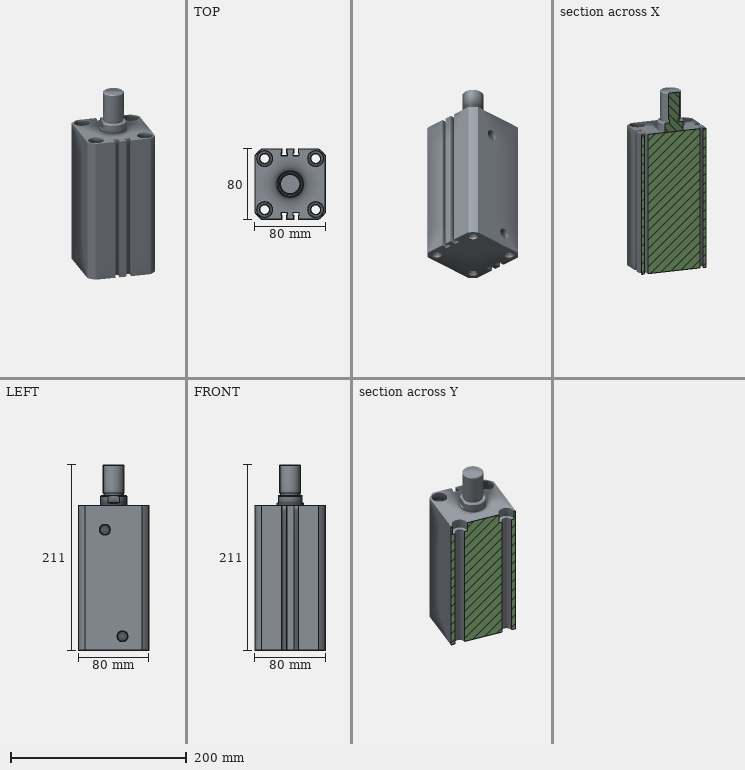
import cadquery as cq
import math

housing_width = 80.0
housing_height = 165.0
corner_radius = 51.5
half_width = housing_width / 2

mount_pitch = 58.0
mount_diameter = 11.0
counterbore_diameter = 18.0
counterbore_depth = 11.0

slot_offset = 6.7
slot_mouth_width = 5.2
slot_mouth_depth = 4.5
slot_inner_width = 6.6
slot_depth = 7.6

port_mouth_diameter = 12.3
port_floor_diameter = 11.2
port_depth = 12.0
port_offset = 10.0
lower_port_height = 16.0
upper_port_height = housing_height - 27.8

rod_length = 46.0
collar_diameter = 30.0
collar_height = 11.0
collar_chamfer = 1.0
flats_width = 27.0
flats_foot_height = 2.0
flats_foot_angle = 30.0
thread_diameter = 24.0
thread_length = 32.0
thread_chamfer = 1.0
neck_diameter = 22.4


def housing_blank():
    """Square block whose four corners are arcs about the cylinder axis."""
    block = cq.Workplane("XY").rect(housing_width, housing_width).extrude(housing_height)
    corner_cylinder = cq.Workplane("XY").circle(corner_radius).extrude(housing_height)
    return block.intersect(corner_cylinder)


def drill_mounting_holes(body):
    """Counterbored through holes at the four corners, entered from the top."""
    return (
        body.faces(">Z")
        .workplane(origin=(0, 0, housing_height))
        .rect(mount_pitch, mount_pitch, forConstruction=True)
        .vertices()
        .cboreHole(mount_diameter, counterbore_diameter, counterbore_depth)
    )


def sensor_slot(x, side):
    """Full-height T-slot centred at x, open on the +Y (side=1) or -Y (side=-1) face."""
    inner_depth = slot_depth - slot_mouth_depth
    face_y = side * half_width
    mouth = (
        cq.Workplane("XY")
        .center(x, face_y - side * slot_depth / 2)
        .rect(slot_mouth_width, slot_depth)
        .extrude(housing_height)
    )
    undercut = (
        cq.Workplane("XY")
        .center(x, face_y - side * (slot_depth - inner_depth / 2))
        .rect(slot_inner_width, inner_depth)
        .extrude(housing_height)
    )
    return mouth.union(undercut)


def port(y, z):
    """Blind port entering from the -X face, tapering to a smaller flat floor."""
    floor_x = -half_width + port_depth
    return (
        cq.Workplane("XY")
        .polyline(
            [
                (-half_width, 0),
                (-half_width, port_mouth_diameter / 2),
                (floor_x, port_floor_diameter / 2),
                (floor_x, 0),
            ]
        )
        .close()
        .revolve(360, (0, 0, 0), (1, 0, 0))
        .translate((0, y, z))
    )


def make_housing():
    body = drill_mounting_holes(housing_blank())
    for side in (-1, 1):
        for x in (-slot_offset, slot_offset):
            body = body.cut(sensor_slot(x, side))
    body = body.cut(port(port_offset, upper_port_height))
    body = body.cut(port(-port_offset, lower_port_height))
    return body


def wrench_flat_cut(side):
    """Flat on the +X (side=1) or -X (side=-1) of the collar, sloping out at its foot."""
    flat_x = flats_width / 2
    slope_run = (collar_diameter - flats_width) / 2
    slope_rise = slope_run * math.tan(math.radians(flats_foot_angle))
    outer_x = flat_x + slope_run
    return (
        cq.Workplane("XZ")
        .polyline(
            [
                (side * flat_x, collar_height),
                (side * flat_x, flats_foot_height + slope_rise),
                (side * outer_x, flats_foot_height),
                (side * outer_x, collar_height),
            ]
        )
        .close()
        .extrude(collar_diameter / 2, both=True)
    )


def make_rod():
    """Rod standing on the housing top face."""
    collar_radius = collar_diameter / 2
    neck_radius = neck_diameter / 2
    thread_radius = thread_diameter / 2
    thread_start = rod_length - thread_length
    rod = (
        cq.Workplane("XZ")
        .lineTo(collar_radius, 0)
        .lineTo(collar_radius, collar_height - collar_chamfer)
        .lineTo(collar_radius - collar_chamfer, collar_height)
        .lineTo(neck_radius, collar_height)
        .lineTo(neck_radius, thread_start)
        .lineTo(thread_radius, thread_start)
        .lineTo(thread_radius, rod_length - thread_chamfer)
        .lineTo(thread_radius - thread_chamfer, rod_length)
        .lineTo(0, rod_length)
        .close()
        .revolve(360, (0, 0, 0), (0, 1, 0))
    )
    for side in (-1, 1):
        rod = rod.cut(wrench_flat_cut(side))
    return rod.translate((0, 0, housing_height))


housing = make_housing()
rod = make_rod()

result = cq.Compound.makeCompound([housing.val(), rod.val()])